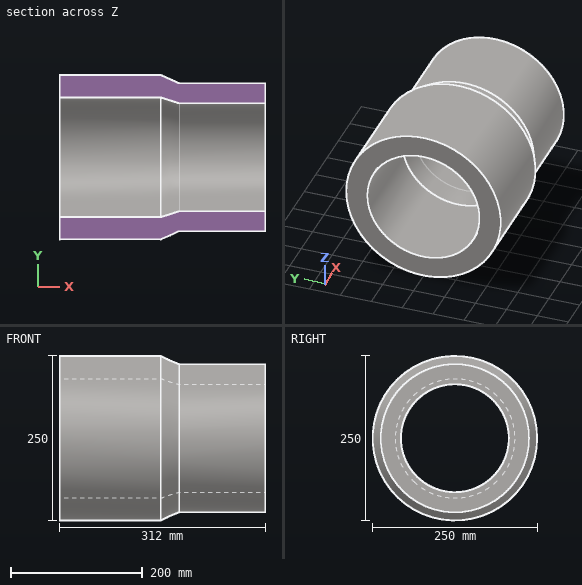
import cadquery as cq

total_length = 312.0
wide_length = 153.5
taper_length = 27.8
wide_outer_diameter = 250.0
narrow_outer_diameter = 225.0
wide_bore_diameter = 181.3
narrow_bore_diameter = 163.5

taper_start = wide_length - total_length / 2
taper_end = taper_start + taper_length


def stepped_solid(wide_diameter, narrow_diameter):
    """Wide cylinder, conical taper and narrow cylinder about the X axis."""
    wide_radius = wide_diameter / 2
    narrow_radius = narrow_diameter / 2
    profile = (
        cq.Workplane("XY")
        .moveTo(-total_length / 2, 0)
        .lineTo(-total_length / 2, wide_radius)
        .lineTo(taper_start, wide_radius)
        .lineTo(taper_end, narrow_radius)
        .lineTo(total_length / 2, narrow_radius)
        .lineTo(total_length / 2, 0)
        .close()
    )
    return profile.revolve(360, (0, 0, 0), (1, 0, 0))


body = stepped_solid(wide_outer_diameter, narrow_outer_diameter)
bore = stepped_solid(wide_bore_diameter, narrow_bore_diameter)
result = body.cut(bore)